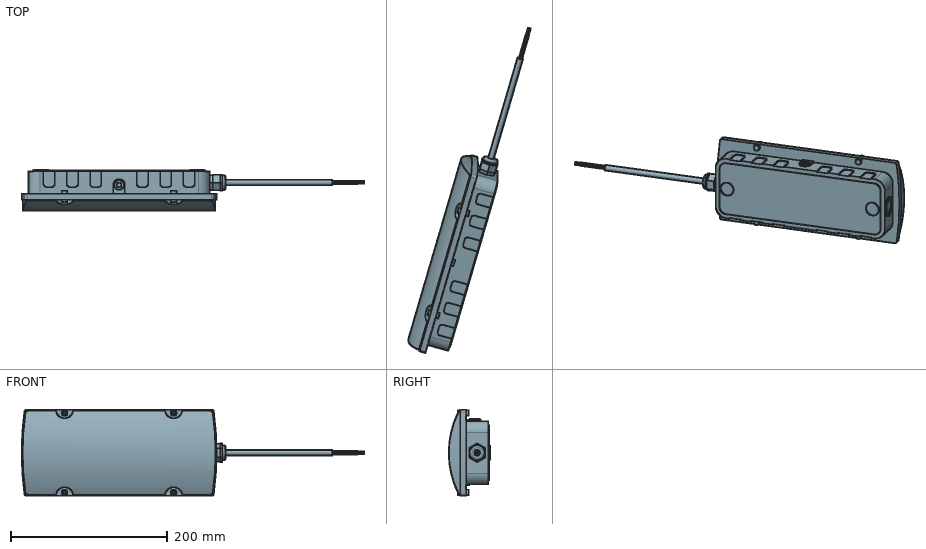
import cadquery as cq
import math


flange_length = 249.5
flange_width = 110.0
flange_thickness = 8.0
end_bow = 4.0
flange_corner_radius = 3.0

lens_inset = 1.55
lens_edge_height = 1.5
lens_height = 14.5

screw_x = 69.7
screw_z = 51.0
screw_radius = 3.73
screw_head_height = 3.0
screw_socket_radius = 1.8
screw_socket_depth = 1.8
screw_boss_height = 3.5
notch_radius = 11.0

housing_length = 232.0
housing_width = 81.0
housing_depth = 28.5
housing_corner_radius = 14.5
cover_inset = 5.5
cover_thickness = 1.1
foot_x = 99.5
foot_radius = 8.8
foot_thickness = 1.1

recess_pitch = 30.0
recess_width = 14.5
recess_start = 8.5
recess_corner_radius = 4.0
recess_depth = 1.0

boss_radius = 7.5
boss_y = 11.0
boss_height = 1.55
boss_rim_radius = 6.0
boss_rim_height = 2.5
boss_hole_radius = 3.0
lug_width = 8.5
lug_length = 4.0
lug_height = 1.1

entry_y = 14.0
knockout_radius = 12.5
knockout_depth = 0.65
knockout_ring_radius = 9.5
knockout_disc_radius = 8.5
knockout_groove_depth = 1.5

base_hex_flats = 19.5
base_hex_length = 4.0
nut_flats = 20.0
nut_length = 9.5
collar_flats = 20.5
collar_length = 2.0
cap_radius = 9.5
cap_length = 4.5
cap_fillet = 2.5
cable_radius = 3.73
cable_end = 272.5
wire_radius = 1.2
wire_circle_radius = 1.45
wire_count = 3
wire_tip_radius = 1.0
wire_tip_length = 9.0

overall_length = 438.5
wire_end = overall_length - flange_length / 2
tip_start = wire_end - wire_tip_length


def plane_xz(y):
    """Plane parallel to XZ at height y, facing +Y; its local X is -X."""
    return cq.Workplane(cq.Plane((0, y, 0), (-1, 0, 0), (0, 1, 0)))


def plane_yz(x):
    """Plane parallel to YZ at x on the cable axis, facing +X; local axes are Y and Z."""
    return cq.Workplane(cq.Plane((x, entry_y, 0), (0, 1, 0), (1, 0, 0)))


def bowed_slab(inset, y, depth):
    """Rounded slab with bowed ends, drawn in by inset, reaching from y to y + depth."""
    half_length = flange_length / 2 - inset
    half_width = flange_width / 2 - inset
    corner_x = half_length - end_bow
    return (
        plane_xz(y)
        .moveTo(-corner_x, -half_width)
        .lineTo(corner_x, -half_width)
        .threePointArc((half_length, 0), (corner_x, half_width))
        .lineTo(-corner_x, half_width)
        .threePointArc((-half_length, 0), (-corner_x, -half_width))
        .close()
        .extrude(depth)
        .edges("|Y")
        .fillet(flange_corner_radius)
    )


def disc(x, y, z, radius, depth):
    """Round disc with its axis along Y, reaching from y to y + depth."""
    return plane_xz(y).center(-x, z).circle(radius).extrude(depth)


def make_lens():
    front = -flange_thickness - lens_height
    edge = -flange_thickness - lens_edge_height
    half_width = flange_width / 2 - lens_inset
    profile = (
        cq.Workplane("YZ", origin=(-flange_length / 2, 0, 0))
        .moveTo(-flange_thickness, -half_width)
        .lineTo(edge, -half_width)
        .threePointArc((front, 0), (edge, half_width))
        .lineTo(-flange_thickness, half_width)
        .close()
        .extrude(flange_length)
    )
    lens = profile.intersect(bowed_slab(lens_inset, front, lens_height))
    for x in (-screw_x, screw_x):
        for z in (-flange_width / 2, flange_width / 2):
            lens = lens.cut(disc(x, front, z, notch_radius, lens_height))
    return lens


def make_screw(x, z):
    head_front = -flange_thickness - screw_head_height
    screw = disc(x, head_front, z, screw_radius, screw_boss_height - head_front)
    return screw.cut(disc(x, head_front, z, screw_socket_radius, screw_socket_depth))


def make_recess(x, side):
    """Round-cornered pocket open to the rear; side is +1 for the upper face, -1 for the lower."""
    height = housing_depth - recess_start
    return (
        cq.Workplane("XY")
        .box(recess_width, height, 2 * recess_depth)
        .edges("|Z and <Y")
        .fillet(recess_corner_radius)
        .translate((x, recess_start + height / 2, side * housing_width / 2))
    )


def make_housing():
    housing = (
        plane_xz(0)
        .rect(housing_length, housing_width)
        .extrude(housing_depth)
        .edges("|Y")
        .fillet(housing_corner_radius)
    )
    for step in (-3, -2, -1, 1, 2, 3):
        for side in (-1, 1):
            housing = housing.cut(make_recess(step * recess_pitch, side))
    cover = (
        plane_xz(housing_depth)
        .rect(housing_length - 2 * cover_inset, housing_width - 2 * cover_inset)
        .extrude(cover_thickness)
        .edges("|Y")
        .fillet(housing_corner_radius - cover_inset)
    )
    housing = housing.union(cover)
    for x in (-foot_x, foot_x):
        foot = disc(x, housing_depth, 0, foot_radius, cover_thickness + foot_thickness)
        housing = housing.union(foot)
    return housing


def make_drain_boss():
    """Arch-shaped boss with a raised round rim and a blind hole, on the upper side."""
    base = housing_width / 2
    boss = (
        cq.Workplane("XY", origin=(0, 0, base))
        .moveTo(-boss_radius, 0)
        .lineTo(-boss_radius, boss_y)
        .threePointArc((0, boss_y + boss_radius), (boss_radius, boss_y))
        .lineTo(boss_radius, 0)
        .close()
        .extrude(boss_height)
    )
    center = cq.Workplane("XY", origin=(0, boss_y, base))
    rim = center.circle(boss_rim_radius).extrude(boss_rim_height)
    hole = center.circle(boss_hole_radius).extrude(boss_rim_height)
    return boss.union(rim).cut(hole)


def make_lug():
    height = 2 * lug_height
    lug = cq.Workplane("XY").box(lug_width, lug_length, height)
    return lug.translate((0, lug_length / 2, -housing_width / 2))


def make_knockout():
    """Shallow ring cut with a deeper groove along its inner edge, around a flush disc."""
    face = plane_yz(-housing_length / 2)
    ring = face.circle(knockout_radius).circle(knockout_disc_radius).extrude(knockout_depth)
    groove = (
        face.circle(knockout_ring_radius)
        .circle(knockout_disc_radius)
        .extrude(knockout_groove_depth)
    )
    return ring.union(groove)


def make_hex(x, flats, length):
    """Hexagonal prism along X with corners pointing up and down."""
    corners = flats / math.cos(math.pi / 6)
    return (
        plane_yz(x)
        .transformed(rotate=(0, 0, 90))
        .polygon(6, corners)
        .extrude(length)
    )


def make_gland():
    base_start = housing_length / 2
    nut_start = base_start + base_hex_length
    collar_start = nut_start + nut_length
    cap_start = collar_start + collar_length
    base = make_hex(base_start, base_hex_flats, base_hex_length)
    nut = make_hex(nut_start, nut_flats, nut_length)
    collar = make_hex(collar_start, collar_flats, collar_length)
    cap = (
        plane_yz(cap_start)
        .circle(cap_radius)
        .extrude(cap_length)
        .faces(">X")
        .edges()
        .fillet(cap_fillet)
    )
    return base.union(nut).union(collar).union(cap)


def make_cable():
    start = housing_length / 2
    cable = plane_yz(start).circle(cable_radius).extrude(cable_end - start)
    for index in range(wire_count):
        angle = 2 * math.pi * index / wire_count
        y = wire_circle_radius * math.cos(angle)
        z = wire_circle_radius * math.sin(angle)
        wire = plane_yz(cable_end).center(y, z).circle(wire_radius).extrude(tip_start - cable_end)
        tip = plane_yz(tip_start).center(y, z).circle(wire_tip_radius).extrude(wire_tip_length)
        cable = cable.union(wire).union(tip)
    return cable


result = bowed_slab(0, -flange_thickness, flange_thickness)
result = result.union(make_lens())
result = result.union(make_housing())
for x in (-screw_x, screw_x):
    for z in (-screw_z, screw_z):
        result = result.union(make_screw(x, z))
result = result.union(make_drain_boss())
result = result.union(make_lug())
result = result.cut(make_knockout())
result = result.union(make_gland())
result = result.union(make_cable())